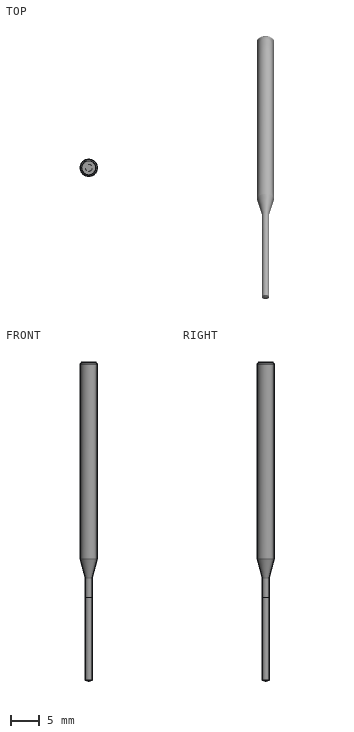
import cadquery as cq
import math

TOTAL_LENGTH = 55.2
SHANK_RADIUS = 3.0 / 2
STEM_RADIUS = 1.2 / 2

CUTTER_TOP = 14.5
TAPER_BOTTOM = 17.9
TAPER_TOP = 21.2

POINT_ANGLE = 140.0
CHAMFER = 0.3

point_height = STEM_RADIUS / math.tan(math.radians(POINT_ANGLE / 2))


def revolve_profile(points):
    """Turn a closed half profile of (radius, height) points about the Z axis."""
    profile = cq.Workplane("XZ").polyline(points).close()
    return profile.revolve(360, (0, 0, 0), (0, 1, 0))


def make_cutter():
    """Straight cylindrical cutting end with a shallow conical point."""
    return revolve_profile([
        (0, 0),
        (STEM_RADIUS, point_height),
        (STEM_RADIUS, CUTTER_TOP),
        (0, CUTTER_TOP),
    ])


def make_shank():
    """Slim neck, taper and clamping shank with a chamfered top rim."""
    return revolve_profile([
        (0, CUTTER_TOP),
        (STEM_RADIUS, CUTTER_TOP),
        (STEM_RADIUS, TAPER_BOTTOM),
        (SHANK_RADIUS, TAPER_TOP),
        (SHANK_RADIUS, TOTAL_LENGTH - CHAMFER),
        (SHANK_RADIUS - CHAMFER, TOTAL_LENGTH),
        (0, TOTAL_LENGTH),
    ])


cutter = make_cutter()
shank = make_shank()

result = cq.Compound.makeCompound([cutter.val(), shank.val()])